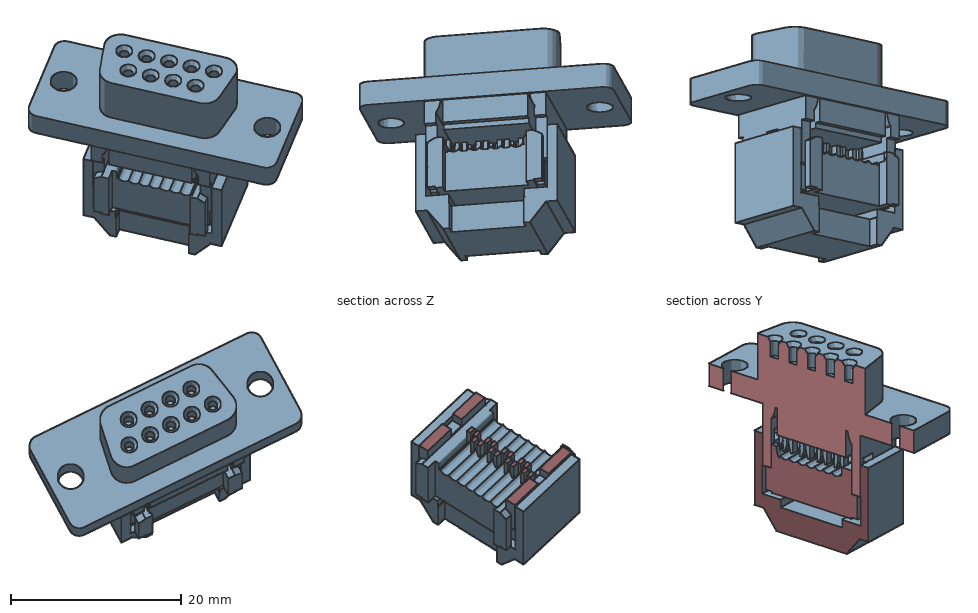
import cadquery as cq
import math


TOTAL_HEIGHT = 24.9
FLANGE_TOP = 18.9
FLANGE_BOTTOM = 15.95
BODY_STEP_Z = 13.1
BODY_BOTTOM = 12.47
LEG_BOTTOM = 7.95

FLANGE_LENGTH = 30.5
FLANGE_WIDTH = 12.6
FLANGE_CORNER_RADIUS = 1.28
MOUNT_HOLE_SPACING = 25.07
MOUNT_HOLE_DIAMETER = 3.08

SHELL_WIDTH = 7.9
SHELL_NARROW_LENGTH = 14.15
SHELL_SIDE_ANGLE = 10.0
SHELL_CORNER_RADIUS = 1.95

LONG_ROW_LENGTH = 11.05
LONG_ROW_SOCKETS = 5
SOCKET_PITCH = LONG_ROW_LENGTH / (LONG_ROW_SOCKETS - 1)
SOCKET_ROW_SPACING = 2.85
SOCKET_ROWS = [(LONG_ROW_SOCKETS, 0.5), (LONG_ROW_SOCKETS - 1, -0.5)]
SOCKET_MOUTH_DIAMETER = 1.92
SOCKET_BORE_DIAMETER = 1.1
SOCKET_MOUTH_DEPTH = 0.55
SOCKET_BORE_DEPTH = 2.45

BODY_LENGTH = 10.22
UPPER_WIDTH = 12.08
LOWER_WIDTH = 10.6
LEG_INNER_X = 5.92
LEG_OUTER_X = 7.3
LEG_FLARE_X = 5.37
LEG_FLARE_BOTTOM = 14.43
LEG_FLARE_BULGE = 0.1
WINDOW_WIDTH = 1.9
WINDOW_TOP = 12.85
WINDOW_HEIGHT = 1.52

WIRE_OFFSET_X = 0.18
FIRST_WIRE = -3
LAST_WIRE = 4
WIRE_SPAN = 8.88
WIRE_PITCH = WIRE_SPAN / (LAST_WIRE - FIRST_WIRE)
CONTACT_WIDTH = 1.43
CONTACT_THICKNESS = 0.85
CONTACT_TOP = 13.3
CONTACT_TIP = 10.37
SLOT_TOP = 12.93
SLOT_WIDTH = 0.35
SLOT_FLARE_Z = 11.1
SLOT_MOUTH_WIDTH = 0.98

COVER_BOTTOM = 4.75
COVER_TOP = 11.1
COVER_WIDTH = 12.85
COVER_CENTRE_WIDTH = 10.13
HEAD_FRONT_Y = COVER_WIDTH / 2
HEAD_BACK_Y = 5.45
HEAD_INNER_X = 5.0
HEAD_OUTER_X = 6.85
HEAD_BOTTOM = 4.95
HEAD_SHOULDER_Z = 10.58
LEDGE_WIDTH = 9.15
RIDGE_Z = 10.0
GROOVE_DEPTH = 0.3
CHANNEL_LEFT_X = -4.45
CHANNEL_RIGHT_X = 5.15
LAST_GROOVE_BOTTOM_X = 4.8
CHANNEL_RIGHT_RADIUS = 1.83
CHANNEL_WIDTH = 11.95
CHANNEL_EDGE_RADIUS = 0.27

CLIP_WIDTH = 10.43
CLIP_OUTER_X = 8.5
CLIP_TOP = 12.15
CLIP_FLOOR_TOP = 4.3
CLIP_SHOULDER_X = 7.17
CLIP_SHOULDER_Z = 2.47
CLIP_FOOT_X = 5.22
BAR_TOP = 3.3
BAR_WIDTH = 7.93
NOTCH_LENGTH = 9.1
RECESS_LENGTH = 8.9


def box(x_min, x_max, y_min, y_max, z_min, z_max):
    """Axis-aligned block between the given limits."""
    block = cq.Workplane("XY").box(x_max - x_min, y_max - y_min, z_max - z_min, centered=False)
    return block.translate((x_min, y_min, z_min))


def centred_box(length, width, z_min, z_max):
    """Block centred on the Z axis."""
    return box(-length / 2, length / 2, -width / 2, width / 2, z_min, z_max)


def prism_along_y(outline, y_min, y_max):
    """Sweep a closed XZ outline from y_min to y_max."""
    return outline.extrude(y_min - y_max).translate((0, y_min, 0))


def mirrored_pair(half):
    """The +X shape together with its mirror image on the -X side."""
    return half.union(half.mirror("YZ"))


def wire_x(index):
    return WIRE_OFFSET_X + index * WIRE_PITCH


def make_flange():
    flange = centred_box(FLANGE_LENGTH, FLANGE_WIDTH, FLANGE_BOTTOM, FLANGE_TOP)
    flange = flange.edges("|Z").fillet(FLANGE_CORNER_RADIUS)
    holes = (
        cq.Workplane("XY", origin=(0, 0, FLANGE_BOTTOM))
        .pushPoints([(-MOUNT_HOLE_SPACING / 2, 0), (MOUNT_HOLE_SPACING / 2, 0)])
        .circle(MOUNT_HOLE_DIAMETER / 2)
        .extrude(FLANGE_TOP - FLANGE_BOTTOM)
    )
    return flange.cut(holes)


def make_shell():
    half_width = SHELL_WIDTH / 2
    narrow = SHELL_NARROW_LENGTH / 2
    wide = narrow + SHELL_WIDTH * math.tan(math.radians(SHELL_SIDE_ANGLE))
    corners = [(-narrow, -half_width), (narrow, -half_width), (wide, half_width), (-wide, half_width)]
    shell = (
        cq.Workplane("XY", origin=(0, 0, FLANGE_TOP))
        .polyline(corners)
        .close()
        .extrude(TOTAL_HEIGHT - FLANGE_TOP)
    )
    return shell.edges("|Z").fillet(SHELL_CORNER_RADIUS)


def make_socket_opening():
    """Blind bore with a conical mouth, opening at the origin and pointing down."""
    mouth_radius = SOCKET_MOUTH_DIAMETER / 2
    bore_radius = SOCKET_BORE_DIAMETER / 2
    profile = [
        (0, 0),
        (mouth_radius, 0),
        (bore_radius, -SOCKET_MOUTH_DEPTH),
        (bore_radius, -SOCKET_BORE_DEPTH),
        (0, -SOCKET_BORE_DEPTH),
    ]
    return cq.Workplane("XZ").polyline(profile).close().revolve(360, (0, 0, 0), (0, 1, 0))


def socket_places():
    places = []
    for count, row in SOCKET_ROWS:
        for index in range(count):
            x = (index - (count - 1) / 2) * SOCKET_PITCH
            places.append((x, row * SOCKET_ROW_SPACING, TOTAL_HEIGHT))
    return places


def make_leg():
    """Leg on the +X side, wider near the flange, with a latch window."""
    flare_middle = (
        (LEG_INNER_X + LEG_FLARE_X) / 2 - LEG_FLARE_BULGE,
        (LEG_FLARE_BOTTOM + FLANGE_BOTTOM) / 2 - LEG_FLARE_BULGE,
    )
    outline = (
        cq.Workplane("XZ")
        .moveTo(LEG_OUTER_X, FLANGE_BOTTOM)
        .lineTo(LEG_OUTER_X, BODY_STEP_Z)
        .lineTo(LEG_INNER_X, BODY_STEP_Z)
        .lineTo(LEG_INNER_X, LEG_FLARE_BOTTOM)
        .threePointArc(flare_middle, (LEG_FLARE_X, FLANGE_BOTTOM))
        .close()
    )
    upper = prism_along_y(outline, -UPPER_WIDTH / 2, UPPER_WIDTH / 2)
    lower = box(LEG_INNER_X, LEG_OUTER_X, -LOWER_WIDTH / 2, LOWER_WIDTH / 2, LEG_BOTTOM, BODY_STEP_Z)
    window = box(
        LEG_INNER_X, LEG_OUTER_X,
        -WINDOW_WIDTH / 2, WINDOW_WIDTH / 2,
        WINDOW_TOP - WINDOW_HEIGHT, WINDOW_TOP,
    )
    return upper.union(lower).cut(window)


def make_contact(index):
    """Forked contact that straddles one wire; neighbours stand in opposite rows."""
    half = CONTACT_WIDTH / 2
    slot = SLOT_WIDTH / 2
    mouth = SLOT_MOUTH_WIDTH / 2
    corners = [
        (-half, CONTACT_TOP),
        (half, CONTACT_TOP),
        (half, CONTACT_TIP),
        (mouth, CONTACT_TIP),
        (slot, SLOT_FLARE_Z),
        (slot, SLOT_TOP),
        (-slot, SLOT_TOP),
        (-slot, SLOT_FLARE_Z),
        (-mouth, CONTACT_TIP),
        (-half, CONTACT_TIP),
    ]
    row_front = -CONTACT_THICKNESS if index % 2 == 0 else 0
    outline = cq.Workplane("XZ").polyline(corners).close()
    contact = prism_along_y(outline, row_front, row_front + CONTACT_THICKNESS)
    return contact.translate((wire_x(index), 0, 0))


def make_connector():
    connector = make_flange().union(make_shell())
    for place in socket_places():
        connector = connector.cut(make_socket_opening().translate(place))
    connector = connector.union(centred_box(BODY_LENGTH, UPPER_WIDTH, BODY_STEP_Z, FLANGE_BOTTOM))
    connector = connector.union(centred_box(BODY_LENGTH, LOWER_WIDTH, BODY_BOTTOM, BODY_STEP_Z))
    connector = connector.union(mirrored_pair(make_leg()))
    for index in range(FIRST_WIRE, LAST_WIRE + 1):
        connector = connector.union(make_contact(index))
    return connector


def make_cover_end():
    """Neck on the +X side, with heads that grip the leg and a ledge below it."""
    neck = box(HEAD_INNER_X, LEG_INNER_X, -HEAD_FRONT_Y, HEAD_FRONT_Y, COVER_BOTTOM, COVER_TOP)
    head_corners = [
        (LEG_INNER_X, HEAD_BOTTOM),
        (HEAD_OUTER_X, HEAD_BOTTOM),
        (HEAD_OUTER_X, HEAD_SHOULDER_Z),
        (LEG_INNER_X, COVER_TOP),
    ]
    ledge = box(LEG_INNER_X, HEAD_OUTER_X, -LEDGE_WIDTH / 2, LEDGE_WIDTH / 2, HEAD_BOTTOM, LEG_BOTTOM)
    for y_min in (-HEAD_FRONT_Y, HEAD_BACK_Y):
        outline = cq.Workplane("XZ").polyline(head_corners).close()
        neck = neck.union(prism_along_y(outline, y_min, y_min + HEAD_FRONT_Y - HEAD_BACK_Y))
    return neck.union(ledge)


def make_cable_channel():
    """Space above the cable bed: round wire grooves between a straight and a curved end wall."""
    half_pitch = WIRE_PITCH / 2
    groove_z = RIDGE_Z - GROOVE_DEPTH
    outline = (
        cq.Workplane("XZ")
        .moveTo(CHANNEL_LEFT_X - CHANNEL_EDGE_RADIUS, COVER_TOP)
        .radiusArc((CHANNEL_LEFT_X, COVER_TOP - CHANNEL_EDGE_RADIUS), CHANNEL_EDGE_RADIUS)
        .lineTo(CHANNEL_LEFT_X, RIDGE_Z)
        .lineTo(wire_x(FIRST_WIRE) - half_pitch, RIDGE_Z)
    )
    for index in range(FIRST_WIRE, LAST_WIRE):
        outline = outline.threePointArc((wire_x(index), groove_z), (wire_x(index) + half_pitch, RIDGE_Z))
    outline = (
        outline.lineTo(LAST_GROOVE_BOTTOM_X, groove_z)
        .radiusArc((CHANNEL_RIGHT_X, COVER_TOP), -CHANNEL_RIGHT_RADIUS)
        .close()
    )
    return prism_along_y(outline, -CHANNEL_WIDTH / 2, CHANNEL_WIDTH / 2)


def make_last_contact_recess():
    """Recess for the tine of the last contact, which reaches into the cover."""
    return box(
        CHANNEL_RIGHT_X, LEG_INNER_X,
        -CONTACT_THICKNESS, CONTACT_THICKNESS,
        CONTACT_TIP, COVER_TOP,
    )


def make_cover():
    cover = centred_box(2 * HEAD_INNER_X, COVER_CENTRE_WIDTH, COVER_BOTTOM, COVER_TOP)
    cover = cover.union(mirrored_pair(make_cover_end()))
    return cover.cut(make_cable_channel()).cut(make_last_contact_recess())


def make_clip():
    right_side = [
        (LEG_OUTER_X, CLIP_TOP),
        (CLIP_OUTER_X, CLIP_TOP),
        (CLIP_OUTER_X, CLIP_SHOULDER_Z),
        (CLIP_SHOULDER_X, CLIP_SHOULDER_Z),
        (CLIP_FOOT_X, 0),
        (0, 0),
        (0, CLIP_FLOOR_TOP),
        (LEG_OUTER_X, CLIP_FLOOR_TOP),
    ]
    outline = cq.Workplane("XZ").polyline(right_side).close()
    clip = mirrored_pair(prism_along_y(outline, -CLIP_WIDTH / 2, CLIP_WIDTH / 2))
    notch = centred_box(NOTCH_LENGTH, CLIP_WIDTH, BAR_TOP, CLIP_FLOOR_TOP)
    recesses = centred_box(RECESS_LENGTH, CLIP_WIDTH, 0, BAR_TOP)
    bar = centred_box(RECESS_LENGTH, BAR_WIDTH, 0, BAR_TOP)
    return clip.cut(notch).cut(recesses.cut(bar))


connector = make_connector()
cover = make_cover()
clip = make_clip()

result = cq.Compound.makeCompound([connector.val(), cover.val(), clip.val()])